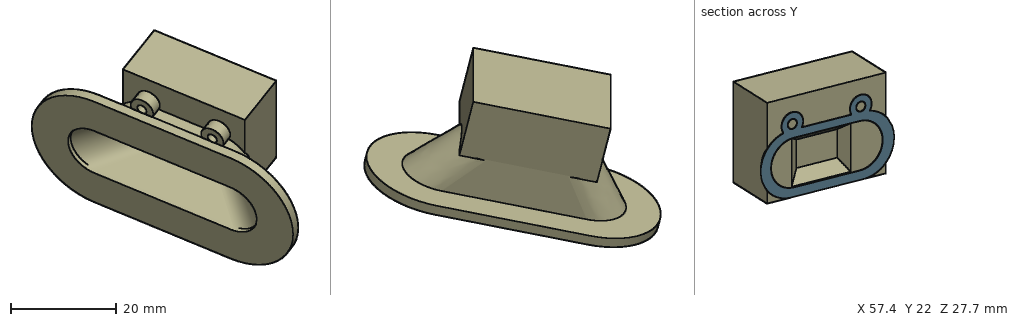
import cadquery as cq

plate_length = 57.4
plate_height = 27.5
plate_thickness = 2.0
straight_length = plate_length - plate_height

mouth_height = 11.5
mouth_length = straight_length + mouth_height
mouth_lip = 1.0
wall = 2.0
throat_length = 25.1
throat_height = 10.2
throat_x = -1.0
throat_z = 0.1
funnel_end_height = 13.75

block_width = 26.8
block_depth = 12.0
block_height = 20.95
block_x = -1.05
block_front = 10.0
block_rise = 0.2
block_top = plate_height / 2 + block_rise
funnel_end = block_front + wall

pocket_width = 13.3
pocket_height = 10.05
pocket_x = -2.25
pocket_z = 0.25
floor_width = 9.2
floor_height = 5.9
floor_x = -1.95
floor_z = 0.75
pocket_depth = 2.0

head_diameter = 4.95
head_length = 2.6
head_spacing = 15.45
head_z = 8.2
socket_diameter = 2.0


def section(y, x=0, z=0):
    """Workplane at depth y, facing +Y, with local axes along +X and -Z."""
    plane = cq.Plane(origin=(x, y, z), xDir=(1, 0, 0), normal=(0, 1, 0))
    return cq.Workplane(plane)


def slot_wire(length, height, y, x=0, z=0):
    return section(y, x, z).slot2D(length, height).wires().val()


def rect_wire(width, height, y, x, z):
    return section(y, x, z).rect(width, height).wires().val()


def loft(first, last):
    return cq.Workplane(cq.Solid.makeLoft([first, last], True))


plate = section(0).slot2D(plate_length, plate_height).extrude(plate_thickness)

block = cq.Workplane("XY").box(block_width, block_depth, block_height).translate(
    (block_x, block_front + block_depth / 2, block_top - block_height / 2)
)

funnel = loft(
    slot_wire(mouth_length + 2 * wall, mouth_height + 2 * wall, mouth_lip),
    slot_wire(block_width, funnel_end_height, funnel_end, block_x),
)

mouth = section(0).slot2D(mouth_length, mouth_height).extrude(mouth_lip)
taper = loft(
    slot_wire(mouth_length, mouth_height, mouth_lip),
    slot_wire(throat_length, throat_height, block_front, throat_x, throat_z),
)
pocket = loft(
    rect_wire(pocket_width, pocket_height, block_front, pocket_x, pocket_z),
    rect_wire(floor_width, floor_height, block_front + pocket_depth, floor_x, floor_z),
)

result = plate.union(block).union(funnel)

head_start = block_front - head_length
for side in (-1, 1):
    head_x = block_x + side * head_spacing / 2
    head_plane = section(head_start, head_x, head_z)
    result = result.union(head_plane.circle(head_diameter / 2).extrude(head_length))
    result = result.cut(head_plane.circle(socket_diameter / 2).extrude(head_length))

result = result.cut(mouth).cut(taper).cut(pocket)